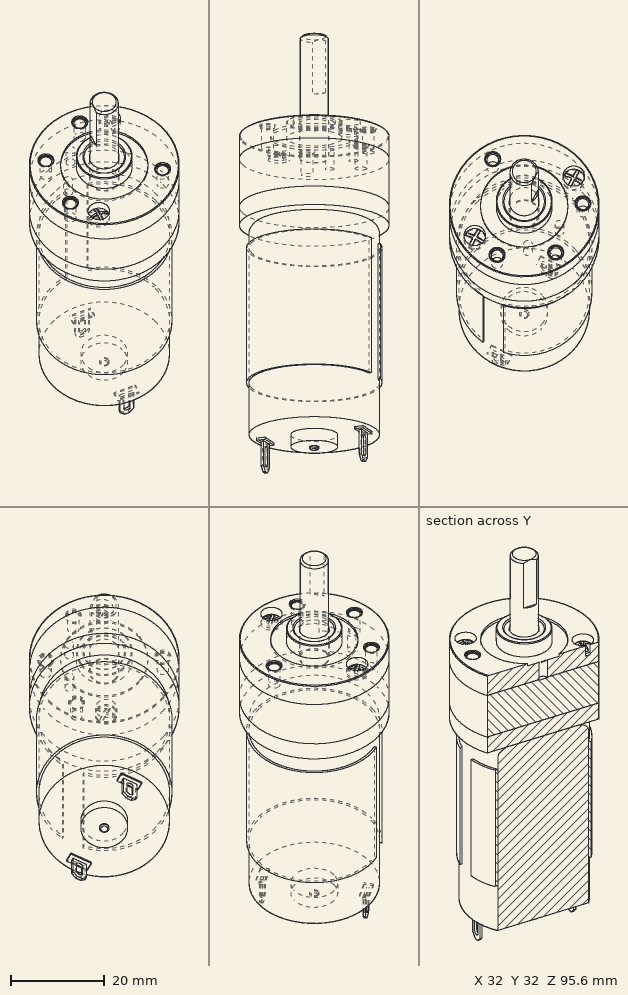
import cadquery as cq
import math

OVERALL_HEIGHT = 95.6
GEARBOX_TOP = 73.6
GEARBOX_HEIGHT = 20.0
COVER_HEIGHT = 5.2
REAR_PLATE_HEIGHT = 4.1
MOTOR_BOTTOM = 7.1

gear_case_top = GEARBOX_TOP - COVER_HEIGHT
gearbox_bottom = GEARBOX_TOP - GEARBOX_HEIGHT
rear_plate_top = gearbox_bottom + REAR_PLATE_HEIGHT
motor_height = gearbox_bottom - MOTOR_BOTTOM

GEARBOX_DIAMETER = 32.0
COVER_CHAMFER = 0.2
BOSS_DIAMETER = 11.95
BOSS_HEIGHT = 3.0
BOSS_CHAMFER = 0.2
BOSS_DISH_DIAMETER = 9.2
BOSS_DISH_FLOOR_DIAMETER = 8.6
BOSS_DISH_DEPTH = 0.3
FACE_RECESS_DIAMETER = 18.6
FACE_RECESS_DEPTH = 0.6
SHAFT_CLEARANCE = 0.2

PIN_POCKET_DIAMETER = 1.9
PIN_POCKET_WEB = 0.3
PIN_POCKET_CIRCLE_RADIUS = 8.5
PIN_POCKET_ANGLES = (213, 270)

HOLE_CIRCLE_RADIUS = 12.5
MOUNTING_HOLE_DIAMETER = 2.5
MOUNTING_HOLE_MOUTH_DIAMETER = 3.1
MOUNTING_HOLE_MOUTH_DEPTH = 0.5
MOUNTING_HOLE_CHAMFER = 0.2
MOUNTING_HOLE_ANGLES = (60, 180, 240, 300)
SCREW_ANGLES = (150, 330)
SCREW_HEAD_DIAMETER = 4.6
SCREW_SINK = 0.9
SCREW_RIM_HEIGHT = 0.6
SCREW_DOME_HEIGHT = 1.1
SCREW_SLOT_WIDTH = 0.7
SCREW_SLOT_DEPTH = 0.9

SHAFT_DIAMETER = 6.0
SHAFT_CHAMFER = 0.5
FLAT_LENGTH = 11.95
FLAT_DISTANCE = 2.6

MOTOR_DIAMETER = 27.9
MOTOR_FILLET = 1.9
REAR_BOSS_DIAMETER = 10.0
REAR_BOSS_HEIGHT = 2.7
SPINDLE_DIAMETER = 2.0
SPINDLE_LENGTH = 0.6
SPINDLE_CHAMFER = 0.3

TERMINAL_OFFSET = 11.4
TERMINAL_WIDTH = 3.25
TERMINAL_THICKNESS = 0.6
TERMINAL_TIP_WIDTH = 1.1
TERMINAL_TIP_HEIGHT = 1.1
TERMINAL_BASE_LENGTH = 5.0
TERMINAL_BASE_WIDTH = 2.0
TERMINAL_BASE_HEIGHT = 0.5
TERMINAL_SLOT_WIDTH = 1.4
TERMINAL_SLOT_BOTTOM = 1.2
TERMINAL_SLOT_TOP = 5.7

SLEEVE_DIAMETER = 29.0
SLEEVE_BOTTOM = 18.6
SLEEVE_HEIGHT = 30.0
SLEEVE_GAP = 5.0


def cylinder(diameter, bottom, height, points=((0, 0),)):
    """Upright cylinders standing at the given points, by default one on the main axis."""
    plane = cq.Workplane("XY").workplane(offset=bottom)
    return plane.pushPoints(points).circle(diameter / 2).extrude(height)


def block(x, y, z):
    """Box between the given (low, high) limits on each axis."""
    size = (x[1] - x[0], y[1] - y[0], z[1] - z[0])
    return cq.Workplane("XY", origin=(x[0], y[0], z[0])).box(*size, centered=False)


def on_circle(radius, angles):
    """Points on a circle around the main axis, angles in degrees from +X."""
    return [
        (radius * math.cos(math.radians(angle)), radius * math.sin(math.radians(angle)))
        for angle in angles
    ]


screw_points = on_circle(HOLE_CIRCLE_RADIUS, SCREW_ANGLES)
screw_top = GEARBOX_TOP - SCREW_SINK
screw_bottom = screw_top - SCREW_DOME_HEIGHT - SCREW_RIM_HEIGHT
boss_top = GEARBOX_TOP + BOSS_HEIGHT
recess_floor = GEARBOX_TOP - FACE_RECESS_DEPTH


def make_mounting_hole_cutter():
    """Through holes with a wider, chamfered mouth."""
    points = on_circle(HOLE_CIRCLE_RADIUS, MOUNTING_HOLE_ANGLES)
    mouth_bottom = GEARBOX_TOP - MOUNTING_HOLE_MOUTH_DEPTH
    mouth_radius = MOUNTING_HOLE_MOUTH_DIAMETER / 2
    bores = cylinder(MOUNTING_HOLE_DIAMETER, gear_case_top, COVER_HEIGHT, points)
    mouths = cylinder(MOUNTING_HOLE_MOUTH_DIAMETER, mouth_bottom, MOUNTING_HOLE_MOUTH_DEPTH, points)
    chamfers = (
        cq.Workplane("XY", origin=(0, 0, GEARBOX_TOP))
        .pushPoints(points)
        .circle(mouth_radius + MOUNTING_HOLE_CHAMFER)
        .extrude(-MOUNTING_HOLE_CHAMFER, taper=45)
    )
    return bores.union(mouths).union(chamfers)


def make_boss():
    """Shaft boss with a shallow dished end."""
    boss = cylinder(BOSS_DIAMETER, recess_floor, boss_top - recess_floor)
    boss = boss.faces(">Z").edges().chamfer(BOSS_CHAMFER)
    dish = (
        cq.Workplane("XY", origin=(0, 0, boss_top))
        .circle(BOSS_DISH_DIAMETER / 2)
        .workplane(offset=-BOSS_DISH_DEPTH)
        .circle(BOSS_DISH_FLOOR_DIAMETER / 2)
        .loft()
    )
    return boss.cut(dish)


def make_cover():
    """Front cover with the shaft boss, mounting holes, screw holes and pin pockets."""
    cover = cylinder(GEARBOX_DIAMETER, gear_case_top, COVER_HEIGHT)
    cover = cover.faces(">Z").edges().chamfer(COVER_CHAMFER)
    cover = cover.cut(cylinder(FACE_RECESS_DIAMETER, recess_floor, FACE_RECESS_DEPTH))
    cover = cover.union(make_boss())

    bore_diameter = SHAFT_DIAMETER + 2 * SHAFT_CLEARANCE
    cover = cover.cut(cylinder(bore_diameter, gear_case_top, boss_top - gear_case_top))

    pocket_points = on_circle(PIN_POCKET_CIRCLE_RADIUS, PIN_POCKET_ANGLES)
    pocket_height = recess_floor - PIN_POCKET_WEB - gear_case_top
    cover = cover.cut(cylinder(PIN_POCKET_DIAMETER, gear_case_top, pocket_height, pocket_points))

    screw_hole_depth = GEARBOX_TOP - screw_bottom
    cover = cover.cut(cylinder(SCREW_HEAD_DIAMETER, screw_bottom, screw_hole_depth, screw_points))
    return cover.cut(make_mounting_hole_cutter())


def make_screw(point):
    """Domed screw head with a cross slot."""
    radius = SCREW_HEAD_DIAMETER / 2
    dome_radius = (radius**2 + SCREW_DOME_HEIGHT**2) / (2 * SCREW_DOME_HEIGHT)
    head = cylinder(SCREW_HEAD_DIAMETER, screw_bottom, screw_top - screw_bottom)
    ball = cq.Workplane("XY", origin=(0, 0, screw_top - dome_radius)).sphere(dome_radius)
    head = head.intersect(ball)
    across = (-radius, radius)
    slot_width = (-SCREW_SLOT_WIDTH / 2, SCREW_SLOT_WIDTH / 2)
    slot_height = (screw_top - SCREW_SLOT_DEPTH, screw_top)
    head = head.cut(block(across, slot_width, slot_height))
    head = head.cut(block(slot_width, across, slot_height))
    return head.translate((point[0], point[1], 0))


def make_shaft():
    """Output shaft with a flat facing -Y."""
    shaft = cylinder(SHAFT_DIAMETER, gear_case_top, OVERALL_HEIGHT - gear_case_top)
    shaft = shaft.faces(">Z").edges().chamfer(SHAFT_CHAMFER)
    radius = SHAFT_DIAMETER / 2
    flat_height = (OVERALL_HEIGHT - FLAT_LENGTH, OVERALL_HEIGHT)
    return shaft.cut(block((-radius, radius), (-radius, -FLAT_DISTANCE), flat_height))


def make_terminal(x):
    """Solder tab with a slot, on a small base under the motor."""
    base = block(
        (x - TERMINAL_BASE_WIDTH / 2, x + TERMINAL_BASE_WIDTH / 2),
        (-TERMINAL_BASE_LENGTH / 2, TERMINAL_BASE_LENGTH / 2),
        (MOTOR_BOTTOM - TERMINAL_BASE_HEIGHT, MOTOR_BOTTOM),
    )
    plane = cq.Workplane("YZ").workplane(offset=x - TERMINAL_THICKNESS / 2)
    tip = TERMINAL_TIP_WIDTH / 2
    side = TERMINAL_WIDTH / 2
    outline = [
        (-tip, 0),
        (tip, 0),
        (side, TERMINAL_TIP_HEIGHT),
        (side, MOTOR_BOTTOM),
        (-side, MOTOR_BOTTOM),
        (-side, TERMINAL_TIP_HEIGHT),
    ]
    tab = plane.polyline(outline).close().extrude(TERMINAL_THICKNESS)
    slot = (
        plane.center(0, (TERMINAL_SLOT_TOP + TERMINAL_SLOT_BOTTOM) / 2)
        .slot2D(TERMINAL_SLOT_TOP - TERMINAL_SLOT_BOTTOM, TERMINAL_SLOT_WIDTH, 90)
        .extrude(TERMINAL_THICKNESS)
    )
    return base.union(tab.cut(slot))


def make_motor():
    """Motor can with its rear boss, spindle end and terminals."""
    motor = cylinder(MOTOR_DIAMETER, MOTOR_BOTTOM, motor_height)
    motor = motor.faces(">Z").edges().fillet(MOTOR_FILLET)
    rear_boss_bottom = MOTOR_BOTTOM - REAR_BOSS_HEIGHT
    motor = motor.union(cylinder(REAR_BOSS_DIAMETER, rear_boss_bottom, REAR_BOSS_HEIGHT))
    spindle = cylinder(SPINDLE_DIAMETER, rear_boss_bottom - SPINDLE_LENGTH, SPINDLE_LENGTH)
    motor = motor.union(spindle.faces("<Z").edges().chamfer(SPINDLE_CHAMFER))
    for x in (-TERMINAL_OFFSET, TERMINAL_OFFSET):
        motor = motor.union(make_terminal(x))
    return motor


def make_sleeve():
    """Thin sleeve around the motor, split along the -X side."""
    sleeve = cylinder(SLEEVE_DIAMETER, SLEEVE_BOTTOM, SLEEVE_HEIGHT)
    sleeve = sleeve.cut(cylinder(MOTOR_DIAMETER, SLEEVE_BOTTOM, SLEEVE_HEIGHT))
    gap = block(
        (-SLEEVE_DIAMETER / 2, 0),
        (-SLEEVE_GAP / 2, SLEEVE_GAP / 2),
        (SLEEVE_BOTTOM, SLEEVE_BOTTOM + SLEEVE_HEIGHT),
    )
    return sleeve.cut(gap)


cover = make_cover()
gear_case = cylinder(GEARBOX_DIAMETER, rear_plate_top, gear_case_top - rear_plate_top)
rear_plate = cylinder(GEARBOX_DIAMETER, gearbox_bottom, REAR_PLATE_HEIGHT)
shaft = make_shaft()
motor = make_motor()
sleeve = make_sleeve()
screws = [make_screw(point) for point in screw_points]

result = cq.Compound.makeCompound(
    [
        cover.val(),
        gear_case.val(),
        rear_plate.val(),
        shaft.val(),
        motor.val(),
        sleeve.val(),
        *[screw.val() for screw in screws],
    ]
)